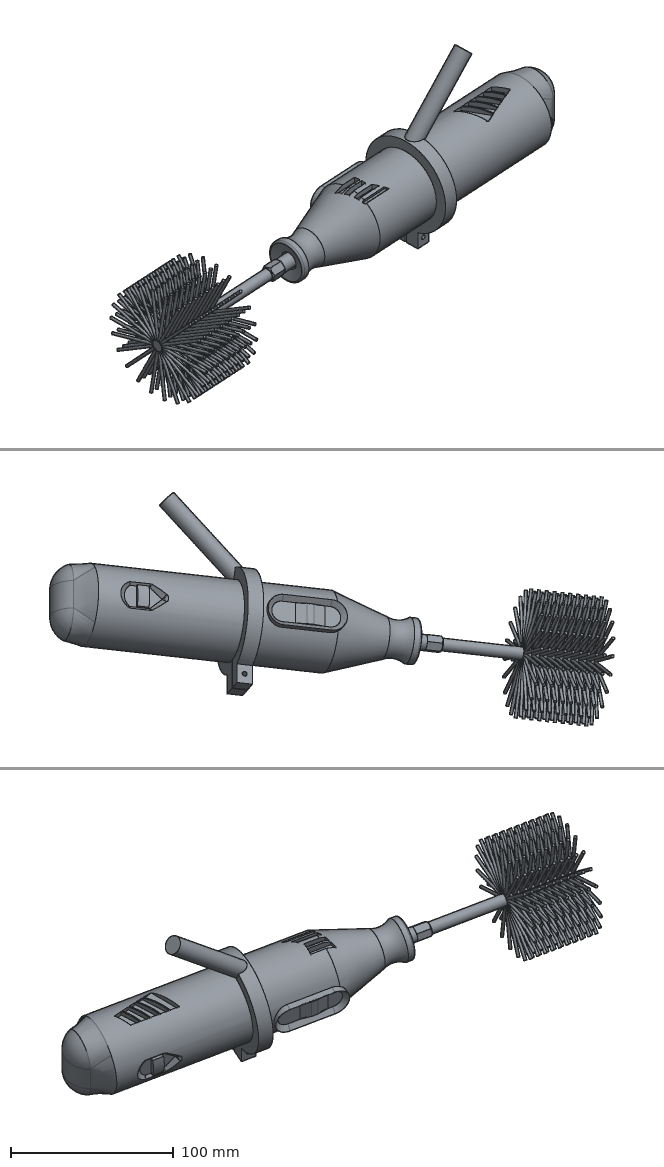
import cadquery as cq
import math


overall_length = 351.15
brush_end_y = 99.7
nut_end_y = 110.2
nose_front_y = 116.5
nose_back_y = 137
shoulder_y = 173.7
clamp_y = 229.5
tail_taper_y = 328.4
tail_dome_y = 341.3

housing_radius = 25.75
cone_end_radius = 13.5

tail_round_radius = 15.2
tail_flat_half = 9

switch_boss_y = 194.5
switch_boss_length = 51
switch_boss_width = 20
switch_boss_x = 28.3
switch_recess_depth = 3.3

rear_recess_floor_x = 22.5
rear_recess_half_height = 7.0
rear_recess_arc_y = 310.8
rear_recess_flat_back_y = 307.2
rear_recess_flat_front_y = 294.5
rear_recess_point_y = 286.5
rear_bridge_back_y = 303.1
rear_bridge_front_y = 295.6

rear_vent_floor_z = 22
rear_vent_count = 5
rear_vent_rib = 1
rear_vent_back_y = 309.2
rear_vent_front_y = 275.6
rear_vent_side_x = -6.8
rear_vent_corner = (3.8, 314.8)
rear_vent_far_corner = (13.2, 284.8)

front_vent_floor_z = 21.2
front_vent_back_y = 184.2
front_vent_bands = [(-5.6, -1.1), (0.5, 3.7), (6.9, 10.0), (12.2, 14.3)]
front_vent_slant_start_x = 4.5
front_vent_front_y = 168.6
front_vent_front_slope = 0.3

nose_waist_y = 128
nose_waist_radius = 12.1
nose_rim_back_y = 121.5
nose_rim_radius = 14.5
nose_rim_round = 1.2
nose_mouth_radius = 13.2
nose_mouth_depth = 2.5
spindle_hole_radius = 6
spindle_seat_y = 122

spindle_radius = 5
nut_corner_radius = 5.5
nut_turn = 13
nut_chamfer = 1.2

rod_radius = 4
bristle_radius = 1
bristle_reach = 40
bristles_per_row = 22
bristle_turn = -0.8
row_count = 10
row_pitch = 5.05
first_row_y = 1.5

clamp_width = 10
clamp_radius = 33.5
lug_half_width = 10.2
lug_bottom_z = -44.2
lug_gap = 1
screw_hole_diameter = 3
screw_hole_z = -37.9
handle_radius = 6
handle_tilt = 45
handle_top_z = 79.87

switch_back_y = 201.5
switch_crown_back_y = 194.4
switch_crown_front_y = 190
switch_front_y = 182.4
switch_height = 1.2


def turned(profile):
    """Revolve a closed (radius, y) sketch about the tool axis."""
    return profile.close().revolve(360, (0, 0, 0), (0, 1, 0))


def rod_along_y(radius, start_y, end_y):
    plane = cq.Plane((0, start_y, 0), xDir=(1, 0, 0), normal=(0, 1, 0))
    return cq.Workplane(plane).circle(radius).extrude(end_y - start_y)


def side_plane(depth_x):
    """Sketch plane on the -X side at x = -depth_x; local x is -Y, local y is Z, extrudes outward."""
    return cq.Workplane(cq.Plane((-depth_x, 0, 0), xDir=(0, -1, 0), normal=(-1, 0, 0)))


def tail_loft():
    """Blend from the round barrel to an upright slot shape."""
    start = cq.Plane((0, tail_taper_y, 0), xDir=(1, 0, 0), normal=(0, -1, 0))
    corner = housing_radius * math.sqrt(0.5)
    length = tail_dome_y - tail_taper_y
    return (
        cq.Workplane(start)
        .moveTo(corner, -corner)
        .threePointArc((housing_radius, 0), (corner, corner))
        .threePointArc((0, housing_radius), (-corner, corner))
        .threePointArc((-housing_radius, 0), (-corner, -corner))
        .threePointArc((0, -housing_radius), (corner, -corner))
        .close()
        .workplane(offset=-length)
        .moveTo(tail_round_radius, -tail_flat_half)
        .lineTo(tail_round_radius, tail_flat_half)
        .threePointArc((0, tail_flat_half + tail_round_radius), (-tail_round_radius, tail_flat_half))
        .lineTo(-tail_round_radius, -tail_flat_half)
        .threePointArc((0, -tail_flat_half - tail_round_radius), (tail_round_radius, -tail_flat_half))
        .close()
        .loft(ruled=True)
    )


def tail_dome():
    """Domed end of the slot shape: a straight middle with a turned cap above and below."""
    height = overall_length - tail_dome_y
    arc_radius = (tail_round_radius**2 + height**2) / (2 * height)
    arc_centre_y = overall_length - arc_radius
    half_angle = math.asin(tail_round_radius / arc_radius) / 2
    middle = (arc_radius * math.sin(half_angle), arc_centre_y + arc_radius * math.cos(half_angle))
    cap = turned(
        cq.Workplane("XY")
        .moveTo(0, tail_dome_y)
        .lineTo(tail_round_radius, tail_dome_y)
        .threePointArc(middle, (0, overall_length))
    )
    dome = (
        cq.Workplane("XY")
        .moveTo(-tail_round_radius, tail_dome_y)
        .lineTo(tail_round_radius, tail_dome_y)
        .threePointArc((0, overall_length), (-tail_round_radius, tail_dome_y))
        .close()
        .extrude(tail_flat_half, both=True)
    )
    for side in (-1, 1):
        dome = dome.union(cap.translate((0, 0, side * tail_flat_half)))
    return dome


def switch_boss():
    return (
        side_plane(0)
        .center(-switch_boss_y, 0)
        .slot2D(switch_boss_length, switch_boss_width)
        .extrude(switch_boss_x)
    )


def switch_recess():
    """Slot pocket whose 45 degree walls reach the rim of the boss."""
    floor_x = switch_boss_x - switch_recess_depth
    narrowing = 2 * switch_recess_depth
    return (
        side_plane(floor_x)
        .center(-switch_boss_y, 0)
        .slot2D(switch_boss_length - narrowing, switch_boss_width - narrowing)
        .extrude(switch_recess_depth, taper=-45)
    )


def rear_recess():
    """Pocket with one bowed end, one pointed end and 45 degree walls, crossed by a bridge."""
    depth = housing_radius - rear_recess_floor_x
    pocket = (
        side_plane(rear_recess_floor_x)
        .moveTo(-rear_recess_flat_back_y, -rear_recess_half_height)
        .lineTo(-rear_recess_flat_front_y, -rear_recess_half_height)
        .lineTo(-rear_recess_point_y, 0)
        .lineTo(-rear_recess_flat_front_y, rear_recess_half_height)
        .lineTo(-rear_recess_flat_back_y, rear_recess_half_height)
        .threePointArc((-rear_recess_arc_y, 0), (-rear_recess_flat_back_y, -rear_recess_half_height))
        .close()
        .extrude(depth, taper=-45)
    )
    bridge = cq.Workplane("XY").box(
        2 * housing_radius, rear_bridge_back_y - rear_bridge_front_y, 2 * rear_recess_half_height
    )
    return pocket.cut(bridge.translate((-housing_radius, (rear_bridge_back_y + rear_bridge_front_y) / 2, 0)))


def rear_vents():
    """Slanted slots side by side, trimmed to one four-sided outline."""
    height = housing_radius - rear_vent_floor_z
    outline = (
        cq.Workplane("XY", origin=(0, 0, rear_vent_floor_z))
        .polyline([
            rear_vent_corner,
            rear_vent_far_corner,
            (rear_vent_side_x, rear_vent_front_y),
            (rear_vent_side_x, rear_vent_back_y),
        ])
        .close()
        .extrude(height)
    )
    lean = (rear_vent_corner[1] - rear_vent_back_y) / (rear_vent_corner[0] - rear_vent_side_x)
    rib_run = rear_vent_far_corner[0] - rear_vent_side_x
    pitch = (rear_vent_back_y - rear_vent_front_y) / rear_vent_count
    for index in range(1, rear_vent_count):
        rib_y = rear_vent_front_y + index * pitch
        rib = (
            cq.Workplane("XY", origin=(rear_vent_side_x, rib_y, rear_vent_floor_z))
            .moveTo(0, -rear_vent_rib / 2)
            .lineTo(rib_run, lean * rib_run - rear_vent_rib / 2)
            .lineTo(rib_run, lean * rib_run + rear_vent_rib / 2)
            .lineTo(0, rear_vent_rib / 2)
            .close()
            .extrude(height)
        )
        outline = outline.cut(rib)
    return outline


def front_vent(near_x, far_x):
    """One slot across the shoulder; slots far out on +X have a 45 degree rear end."""
    def back_y(x):
        return front_vent_back_y + max(0, x - front_vent_slant_start_x)

    def front_y(x):
        return front_vent_front_y + front_vent_front_slope * x

    return (
        cq.Workplane("XY", origin=(0, 0, front_vent_floor_z))
        .moveTo(near_x, front_y(near_x))
        .lineTo(far_x, front_y(far_x))
        .lineTo(far_x, back_y(far_x))
        .lineTo(near_x, back_y(near_x))
        .close()
        .extrude(housing_radius - front_vent_floor_z)
    )


def make_housing():
    barrel = turned(
        cq.Workplane("XY")
        .moveTo(0, nose_back_y)
        .lineTo(cone_end_radius, nose_back_y)
        .lineTo(housing_radius, shoulder_y)
        .lineTo(housing_radius, tail_taper_y)
        .lineTo(0, tail_taper_y)
    )
    housing = barrel.union(tail_loft()).union(tail_dome()).union(switch_boss())
    housing = housing.cut(switch_recess()).cut(rear_recess()).cut(rear_vents())
    for near_x, far_x in front_vent_bands:
        housing = housing.cut(front_vent(near_x, far_x))
    return housing


def make_nose():
    """Waisted collar with a rounded front rim and a flared mouth leading to the spindle seat."""
    return turned(
        cq.Workplane("XY")
        .moveTo(0, nose_back_y)
        .lineTo(cone_end_radius, nose_back_y)
        .threePointArc((nose_waist_radius, nose_waist_y), (nose_rim_radius, nose_rim_back_y))
        .lineTo(nose_rim_radius, nose_front_y + nose_rim_round)
        .radiusArc((nose_rim_radius - nose_rim_round, nose_front_y), nose_rim_round)
        .lineTo(nose_mouth_radius, nose_front_y)
        .lineTo(spindle_hole_radius, nose_front_y + nose_mouth_depth)
        .lineTo(spindle_hole_radius, spindle_seat_y)
        .lineTo(0, spindle_seat_y)
    )


def make_switch():
    """Low slider with ramped ends, lying on the floor of the switch recess."""
    floor_x = -(switch_boss_x - switch_recess_depth)
    crown_x = floor_x - switch_height
    half_width = switch_boss_width / 2 - switch_recess_depth
    return (
        cq.Workplane("XY")
        .moveTo(floor_x, switch_back_y)
        .lineTo(crown_x, switch_crown_back_y)
        .lineTo(crown_x, switch_crown_front_y)
        .lineTo(floor_x, switch_front_y)
        .close()
        .extrude(half_width, both=True)
    )


def make_chuck():
    """Round spindle carrying a hexagonal nut with a turned chamfer at its front end."""
    spindle = rod_along_y(spindle_radius, nut_end_y, spindle_seat_y)
    plane = cq.Plane((0, brush_end_y, 0), xDir=(1, 0, 0), normal=(0, 1, 0))
    nut = (
        cq.Workplane(plane)
        .polygon(6, 2 * nut_corner_radius)
        .extrude(nut_end_y - brush_end_y)
        .rotate((0, 0, 0), (0, 1, 0), -nut_turn)
    )
    envelope = turned(
        cq.Workplane("XY")
        .moveTo(0, brush_end_y)
        .lineTo(nut_corner_radius - nut_chamfer, brush_end_y)
        .lineTo(nut_corner_radius, brush_end_y + nut_chamfer)
        .lineTo(nut_corner_radius, nut_end_y)
        .lineTo(0, nut_end_y)
    )
    return spindle.union(nut.intersect(envelope))


def make_brush():
    """Rod with rows of radial bristles."""
    hub = rod_along_y(rod_radius, -first_row_y, row_pitch - first_row_y)
    bristle = cq.Workplane("YZ").circle(bristle_radius).extrude(bristle_reach)
    bristles = []
    for index in range(bristles_per_row):
        angle = -bristle_turn + index * 360 / bristles_per_row
        bristles.append(bristle.rotate((0, 0, 0), (0, 1, 0), angle).val())
    row = hub.val().fuse(*bristles)
    rows = [row.translate(cq.Vector(0, first_row_y + index * row_pitch, 0)) for index in range(row_count)]
    rod = rod_along_y(rod_radius, row_count * row_pitch, brush_end_y)
    return cq.Workplane(rod.val().fuse(*rows).clean())


def below_axis_block(width):
    """Block as long as the clamp, from the bottom of the lugs up to the tool axis."""
    base = cq.Workplane("XY", origin=(0, clamp_y, lug_bottom_z))
    return base.rect(width, clamp_width).extrude(-lug_bottom_z)


def make_clamp():
    """Split ring around the housing with two bottom lugs and a leaning handle."""
    back_y = clamp_y + clamp_width / 2
    ring = rod_along_y(clamp_radius, back_y - clamp_width, back_y)
    lugs = below_axis_block(2 * lug_half_width)

    tilt = math.radians(handle_tilt)
    handle_rise = handle_top_z - handle_radius * math.cos(tilt) - clamp_radius
    handle_length = handle_rise / math.sin(tilt)
    direction = (0, math.cos(tilt), math.sin(tilt))
    handle_plane = cq.Plane((0, back_y, clamp_radius), xDir=(1, 0, 0), normal=direction)
    handle = (
        cq.Workplane(handle_plane)
        .workplane(offset=-handle_radius)
        .circle(handle_radius)
        .extrude(handle_length + handle_radius)
    )

    bore = rod_along_y(housing_radius, back_y - 2 * clamp_width, back_y + 2 * clamp_width)
    gap = below_axis_block(lug_gap)
    screw_hole = (
        cq.Workplane("YZ", origin=(0, clamp_y, screw_hole_z))
        .circle(screw_hole_diameter / 2)
        .extrude(lug_half_width, both=True)
    )
    return ring.union(lugs).union(handle).cut(bore).cut(gap).cut(screw_hole)


housing = make_housing()
nose = make_nose()
switch = make_switch()
chuck = make_chuck()
brush = make_brush()
clamp = make_clamp()

result = cq.Compound.makeCompound([
    housing.val(),
    nose.val(),
    switch.val(),
    chuck.val(),
    brush.val(),
    clamp.val(),
])